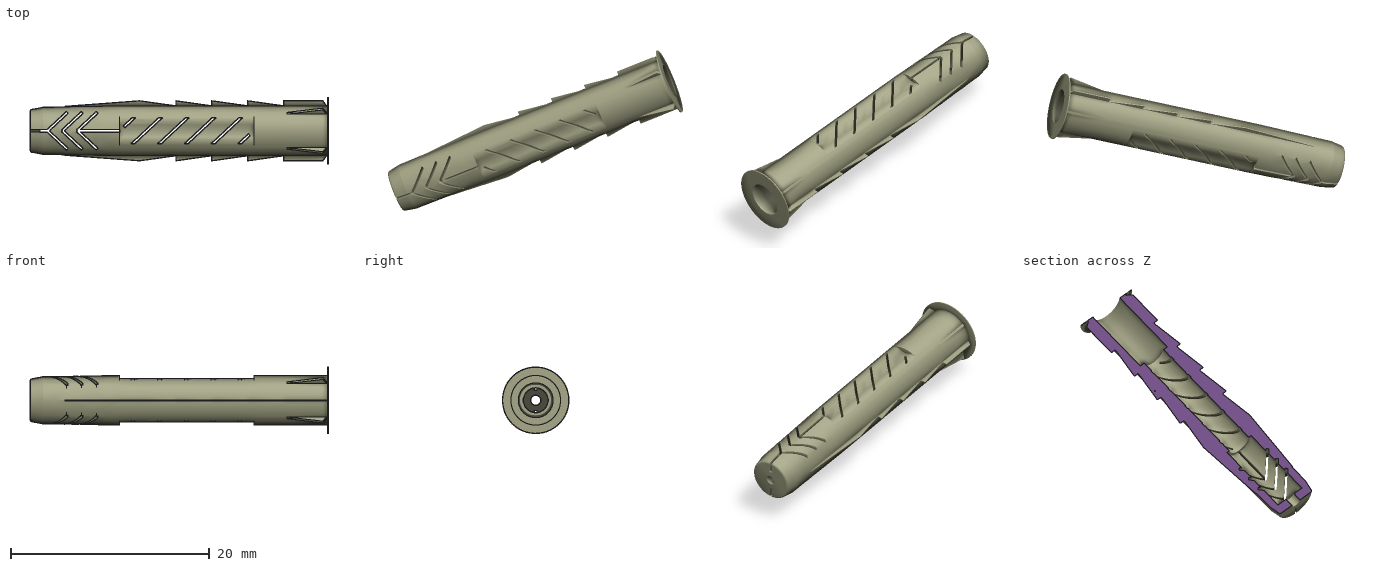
import cadquery as cq
import math

LENGTH = 30.0

BODY_RADIUS = 2.5
NOSE_END = 9.0
NOSE_ROUND = 0.2
NOSE_FACE_RADIUS = 1.97
SHOULDER_X = 1.3
SHOULDER_RADIUS = 2.38

COLLAR_RADIUS = 6.7 / 2
COLLAR_THICKNESS = 0.1
COLLAR_FACE = LENGTH - COLLAR_THICKNESS

PILOT_RADIUS = 1.0 / 2
NOSE_WALL = 1.0
NOSE_BORE_RADIUS = 1.55
GRIP_BORE_RADIUS = 1.24
ENTRY_BORE_RADIUS = 3.5 / 2

RECESS_END = 22.5
RECESS_HALF_WIDTH = 1.41
RECESS_EDGE_Z = math.sqrt(BODY_RADIUS**2 - RECESS_HALF_WIDTH**2)
LOBE_CENTRE_Y = 0.93
LOBE_TOP_Z = 2.2
GROOVE_HALF_WIDTH = 0.68
GROOVE_EDGE_Z = 2.16
GROOVE_FLOOR_Z = 2.02

SLOT_WIDTH = 0.25
SLOT_ANGLE = 43.0
NOSE_SLIT_FLOOR = 1.03
CHEVRON_COUNT = 3
CHEVRON_APEX = 1.75
CHEVRON_PITCH = 1.5
CHEVRON_HALF_WIDTH = 1.85
DIAGONAL_COUNT = 4
DIAGONAL_PITCH = 2.69
DIAGONAL_HALF_WIDTH = 1.3
SHORT_DIAGONAL_START = 0.4

FIN_THICKNESS = 0.1
FIN_RADIUS = 3.03
FIN_START = 3.5
FIN_START_RADIUS = 2.47
FIN_PEAK = 11.0
BARB_STEP = 14.65
BARB_PITCH = 3.62
BARB_COUNT = 3
BARB_FOOT_RADIUS = 2.55
BARB_FLAT = 0.2
FIN_END = LENGTH - 0.2
FIN_CHAMFER_LENGTH = 0.35
FIN_END_RADIUS = 2.55

RIB_THICKNESS = 0.25
RIB_RADIUS = 3.1
RIB_START = 25.85
RIB_ANGLES = (45, 135, 225, 315)

OVERLAP = 1.0
ROOT_RADIUS = 2.2


def make_body():
    """Nose, tube and collar turned about the X axis."""
    round_radius = NOSE_FACE_RADIUS + NOSE_ROUND
    round_mid = NOSE_ROUND * math.sin(math.radians(45))
    profile = (
        cq.Workplane("XY")
        .lineTo(0, NOSE_FACE_RADIUS)
        .threePointArc(
            (NOSE_ROUND - round_mid, NOSE_FACE_RADIUS + round_mid),
            (NOSE_ROUND, round_radius),
        )
        .lineTo(SHOULDER_X, SHOULDER_RADIUS)
        .lineTo(NOSE_END, BODY_RADIUS)
        .lineTo(COLLAR_FACE, BODY_RADIUS)
        .lineTo(COLLAR_FACE, COLLAR_RADIUS)
        .lineTo(LENGTH, COLLAR_RADIUS)
        .lineTo(LENGTH, 0)
        .close()
    )
    return profile.revolve(360, (0, 0, 0), (1, 0, 0))


def make_bore():
    """Pilot hole, nose chamber, narrow gripping bore and screw entry."""
    profile = (
        cq.Workplane("XY")
        .lineTo(0, PILOT_RADIUS)
        .lineTo(NOSE_WALL, PILOT_RADIUS)
        .lineTo(NOSE_WALL, NOSE_BORE_RADIUS)
        .lineTo(NOSE_END, NOSE_BORE_RADIUS)
        .lineTo(NOSE_END, GRIP_BORE_RADIUS)
        .lineTo(RECESS_END, GRIP_BORE_RADIUS)
        .lineTo(RECESS_END, ENTRY_BORE_RADIUS)
        .lineTo(LENGTH, ENTRY_BORE_RADIUS)
        .lineTo(LENGTH, 0)
        .close()
    )
    return profile.revolve(360, (0, 0, 0), (1, 0, 0))


def make_recess():
    """Top recess: two convex lobes with a concave groove between them."""
    top = BODY_RADIUS + OVERLAP
    return (
        cq.Workplane("YZ", origin=(NOSE_END, 0, 0))
        .moveTo(-RECESS_HALF_WIDTH, top)
        .lineTo(-RECESS_HALF_WIDTH, RECESS_EDGE_Z)
        .threePointArc((-LOBE_CENTRE_Y, LOBE_TOP_Z), (-GROOVE_HALF_WIDTH, GROOVE_EDGE_Z))
        .threePointArc((0, GROOVE_FLOOR_Z), (GROOVE_HALF_WIDTH, GROOVE_EDGE_Z))
        .threePointArc((LOBE_CENTRE_Y, LOBE_TOP_Z), (RECESS_HALF_WIDTH, RECESS_EDGE_Z))
        .lineTo(RECESS_HALF_WIDTH, top)
        .close()
        .extrude(RECESS_END - NOSE_END)
    )


def vertical_slot(length, centre_x, centre_y, angle):
    """Straight slot through the whole plug along Z."""
    height = 2 * (BODY_RADIUS + OVERLAP)
    slot = cq.Workplane("XY").box(length, SLOT_WIDTH, height)
    return slot.rotate((0, 0, 0), (0, 0, 1), angle).translate((centre_x, centre_y, 0))


def make_chevron(apex_x):
    """V-shaped slot pointing towards the nose."""
    slope = math.radians(SLOT_ANGLE)
    arm_length = CHEVRON_HALF_WIDTH / math.sin(slope)
    arm_run = CHEVRON_HALF_WIDTH / math.tan(slope)
    centre_x = apex_x + arm_run / 2
    upper = vertical_slot(arm_length, centre_x, CHEVRON_HALF_WIDTH / 2, SLOT_ANGLE)
    lower = vertical_slot(arm_length, centre_x, -CHEVRON_HALF_WIDTH / 2, -SLOT_ANGLE)
    return upper.union(lower)


def make_nose_slit():
    """Top slit from the nose face back to the first chevron, above the pilot hole."""
    depth = BODY_RADIUS + OVERLAP - NOSE_SLIT_FLOOR
    return (
        cq.Workplane("XY")
        .box(CHEVRON_APEX, SLOT_WIDTH, depth, centered=(False, True, False))
        .translate((0, 0, NOSE_SLIT_FLOOR))
    )


def make_rear_slit():
    """Slit from the last chevron to the gripping zone."""
    start = CHEVRON_APEX + (CHEVRON_COUNT - 1) * CHEVRON_PITCH
    return vertical_slot(NOSE_END - start, (start + NOSE_END) / 2, 0, 0)


def make_diagonals():
    """Row of diagonal slots across the recess, with a short one at each end."""
    middle = (NOSE_END + RECESS_END) / 2
    slope = math.radians(SLOT_ANGLE)
    reach = DIAGONAL_HALF_WIDTH + SLOT_WIDTH
    window = cq.Workplane("XY").box(LENGTH, 2 * DIAGONAL_HALF_WIDTH, 2 * (BODY_RADIUS + OVERLAP))
    window = window.translate((middle, 0, 0))

    slots = cq.Workplane("XY")
    for index in range(DIAGONAL_COUNT):
        offset = (index - (DIAGONAL_COUNT - 1) / 2) * DIAGONAL_PITCH
        full_slot = vertical_slot(2 * reach / math.sin(slope), middle + offset, 0, SLOT_ANGLE)
        slots = slots.add(full_slot.intersect(window))

    short_length = (reach - SHORT_DIAGONAL_START) / math.sin(slope)
    short_y = (reach + SHORT_DIAGONAL_START) / 2
    end_offset = (DIAGONAL_COUNT + 1) / 2 * DIAGONAL_PITCH
    for side in (1, -1):
        short_x = middle - side * (end_offset - short_y / math.tan(slope))
        short_slot = vertical_slot(short_length, short_x, side * short_y, SLOT_ANGLE)
        slots = slots.add(short_slot.intersect(window))
    return slots.combine()


def make_fin():
    """Thin barbed fin on the +Y side."""
    outline = (
        cq.Workplane("XY", origin=(0, 0, -FIN_THICKNESS / 2))
        .moveTo(FIN_START, ROOT_RADIUS)
        .lineTo(FIN_START, FIN_START_RADIUS)
        .lineTo(FIN_PEAK, FIN_RADIUS)
    )
    for index in range(BARB_COUNT + 1):
        step_x = BARB_STEP + index * BARB_PITCH
        outline = (
            outline.lineTo(step_x - BARB_FLAT, BARB_FOOT_RADIUS)
            .lineTo(step_x, BARB_FOOT_RADIUS)
            .lineTo(step_x, FIN_RADIUS)
        )
    return (
        outline.lineTo(FIN_END - FIN_CHAMFER_LENGTH, FIN_RADIUS)
        .lineTo(FIN_END, FIN_END_RADIUS)
        .lineTo(FIN_END, ROOT_RADIUS)
        .close()
        .extrude(FIN_THICKNESS)
    )


def make_rib(angle):
    """Wedge rib rising towards the collar, turned about X from the +Y side."""
    rib = (
        cq.Workplane("XY", origin=(0, 0, -RIB_THICKNESS / 2))
        .moveTo(RIB_START, ROOT_RADIUS)
        .lineTo(RIB_START, BODY_RADIUS)
        .lineTo(FIN_END - FIN_CHAMFER_LENGTH, RIB_RADIUS)
        .lineTo(FIN_END, FIN_END_RADIUS)
        .lineTo(FIN_END, ROOT_RADIUS)
        .close()
        .extrude(RIB_THICKNESS)
    )
    return rib.rotate((0, 0, 0), (1, 0, 0), angle)


def cut_top_and_bottom(solid, cutter):
    """Cut a feature and its mirror image below the XY plane."""
    return solid.cut(cutter).cut(cutter.mirror("XY"))


plug = make_body()
plug = cut_top_and_bottom(plug, make_recess())

fin = make_fin()
plug = plug.union(fin).union(fin.mirror("XZ"))
for rib_angle in RIB_ANGLES:
    plug = plug.union(make_rib(rib_angle))

plug = plug.cut(make_bore())
plug = cut_top_and_bottom(plug, make_nose_slit())
plug = plug.cut(make_rear_slit())
for chevron_index in range(CHEVRON_COUNT):
    plug = plug.cut(make_chevron(CHEVRON_APEX + chevron_index * CHEVRON_PITCH))
plug = plug.cut(make_diagonals())

result = plug